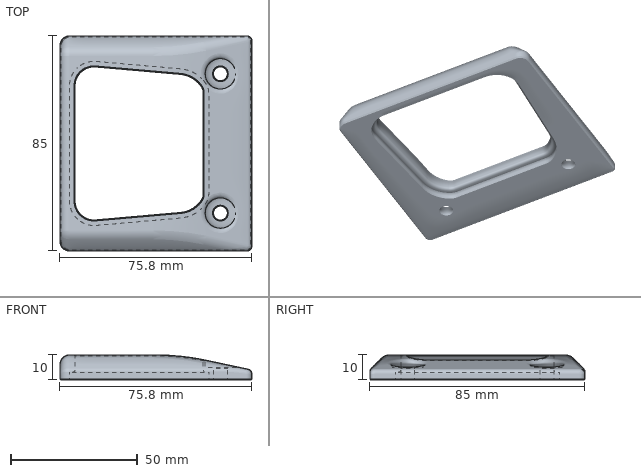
import cadquery as cq
import math

length = 75.83
width = 85.0
height = 10.0
end_height = 4.0
half_width = width / 2

ramp_angle = math.radians(12)
bend_radius = 100.0
bend_run = bend_radius * math.sin(ramp_angle)
bend_drop = bend_radius * (1 - math.cos(ramp_angle))
ramp_slope = math.tan(ramp_angle)
ramp_start = length - (height - bend_drop - end_height) / ramp_slope
bend_start = ramp_start - bend_run

bevel_base = 4.0
bevel_top_radius = 5.0
thick_end_radius = 4.0
thin_end_radius = 2.0
lower_edge_chamfer = 0.5
margin = 10.0

window_left = 6.0
window_right = 56.6
window_left_half_width = 30.9
window_taper = math.radians(5)
window_left_radius = 7.5
window_right_radius = 11.0
window_corner_overrun = 1.1
window_blend_radius = 4.0
rim_chamfer = 0.4
rebate_offset = 2.2
rebate_depth = 3.1
rebate_lip_radius = 1.0

hole_x = 63.4
hole_spacing = 55.0
hole_rows = (-hole_spacing / 2, hole_spacing / 2)
hole_diameter = 5.5
hole_chamfer = 0.35
recess_diameter = 12.0
recess_floor = 5.0
recess_rim_radius = 2.0


tol = 0.02


def pick_edges(body, test):
    """Edges of body whose bounding box satisfies the test."""
    return body.newObject([e for e in body.edges().vals() if test(e.BoundingBox())])


def ramp_height(x):
    """Height of the straight ramp plane at x."""
    return height - bend_drop - (x - ramp_start) * ramp_slope


def make_sloped_stock():
    """Oversized block with the sloping top, bevelled sides and rounded bevel edges."""
    mid_angle = ramp_angle / 2
    bend_middle = (
        bend_start + bend_radius * math.sin(mid_angle),
        height - bend_radius * (1 - math.cos(mid_angle)),
    )
    far_end = length + margin
    stock_half_width = half_width + margin
    stock = (
        cq.Workplane("XZ", origin=(0, stock_half_width, 0))
        .moveTo(-margin, -margin)
        .lineTo(-margin, height)
        .lineTo(bend_start, height)
        .threePointArc(bend_middle, (ramp_start, height - bend_drop))
        .lineTo(far_end, ramp_height(far_end))
        .lineTo(far_end, -margin)
        .close()
        .extrude(2 * stock_half_width)
    )
    bevel_reach = bevel_base + margin
    bevel_foot = half_width + bevel_reach
    bevel_peak = half_width + bevel_base - height
    bevelled = (
        cq.Workplane("YZ", origin=(-margin, 0, 0))
        .polyline([
            (-bevel_foot, -margin),
            (-bevel_peak, height),
            (bevel_peak, height),
            (bevel_foot, -margin),
        ])
        .close()
        .extrude(length + 2 * margin)
    )
    stock = stock.intersect(bevelled)
    bevel_edges = pick_edges(stock, lambda b: b.zmin > 0 and b.xlen > 1)
    return bevel_edges.fillet(bevel_top_radius)


def make_plate():
    """Sloped stock trimmed to the outline, with its outer edges rounded."""
    outline = cq.Workplane("XY").box(length, width, height, centered=(False, True, False))
    plate = make_sloped_stock().intersect(outline)
    plate = pick_edges(plate, lambda b: b.xmin > length - tol and b.ylen < tol).fillet(thin_end_radius)
    plate = pick_edges(plate, lambda b: b.xmax < tol and b.zmax > tol).fillet(thick_end_radius)
    plate = pick_edges(plate, is_upper_side_edge).fillet(thin_end_radius)
    return plate.faces("<Z").edges().chamfer(lower_edge_chamfer)


def is_upper_side_edge(b):
    """True for the upper edges of the vertical sides, around to the thin end."""
    inner_y = min(abs(b.ymin), abs(b.ymax))
    on_thin_end = b.xmin > length - thin_end_radius - tol
    on_long_side = inner_y > half_width - thin_end_radius - tol and b.xmax > thick_end_radius + tol
    return 1 < b.zmin and b.zmax < bevel_base + tol and (on_thin_end or on_long_side)


def make_window(offset, bottom, top):
    """Solid filling the tapered window, grown outward by offset."""
    left = window_left - offset
    right = window_right + offset
    grow = offset / math.cos(window_taper)

    def half_width_at(x):
        return window_left_half_width + grow - (x - window_left) * math.tan(window_taper)

    left_y = half_width_at(left)
    apex = right + window_corner_overrun
    apex_y = half_width_at(apex)
    window = (
        cq.Workplane("XY", origin=(0, 0, bottom))
        .polyline([(left, -left_y), (apex, -apex_y), (apex, apex_y), (left, left_y)])
        .close()
        .extrude(top - bottom)
    )
    window = window.edges("|Z and <X").fillet(window_left_radius + offset)
    window = window.edges("|Z and >X").fillet(window_right_radius + offset)
    beyond_right_wall = (
        cq.Workplane("XY", origin=(right, 0, bottom))
        .box(margin, width, top - bottom, centered=(False, True, False))
    )
    window = window.cut(beyond_right_wall)
    return window.edges("|Z and >X").fillet(window_blend_radius + offset)


def cut_window(body):
    body = body.cut(make_window(0, -1, height + 1))
    body = pick_edges(body, is_window_rim).chamfer(rim_chamfer)
    body = body.cut(make_window(rebate_offset, -1, rebate_depth))
    return pick_edges(body, is_rebate_lip).fillet(rebate_lip_radius)


def is_on_window_wall(b):
    """True for edges that lie on the wall of the window opening."""
    inside_x = b.xmin > window_left - tol and b.xmax < window_right + tol
    inside_y = max(abs(b.ymin), abs(b.ymax)) < window_left_half_width
    return inside_x and inside_y


def is_window_rim(b):
    return is_on_window_wall(b) and b.zmin > bevel_base


def is_rebate_lip(b):
    return is_on_window_wall(b) and abs(b.zmin - rebate_depth) < tol and b.zlen < tol


def is_recess_rim(b):
    """True for the upper edges of a freshly cut screw recess with a still sharp rim."""
    radius = recess_diameter / 2
    inside_x = b.xmin > hole_x - radius - tol and b.xmax < hole_x + radius + tol
    return inside_x and b.xlen > tol and b.zmin > recess_floor + tol


def is_hole_mouth(b):
    """True for the circle where a screw hole meets its recess floor."""
    on_floor = b.zlen < tol and abs(b.zmin - recess_floor) < tol
    return on_floor and abs(b.xlen - hole_diameter) < tol


def cut_recesses(body):
    """Flat-floored screw recesses cut into the ramp, with rounded rims."""
    for y in hole_rows:
        recess = (
            cq.Workplane("XY", origin=(hole_x, y, recess_floor))
            .circle(recess_diameter / 2)
            .extrude(height)
        )
        body = body.cut(recess)
    return pick_edges(body, is_recess_rim).fillet(recess_rim_radius)


def cut_screw_holes(body):
    """Through holes in the recess floors, with chamfered mouths."""
    for y in hole_rows:
        hole = cq.Workplane("XY", origin=(hole_x, y, -1)).circle(hole_diameter / 2).extrude(height)
        body = body.cut(hole)
    return pick_edges(body, is_hole_mouth).chamfer(hole_chamfer)


plate = make_plate()
plate = cut_window(plate)
plate = cut_recesses(plate)
result = cut_screw_holes(plate)